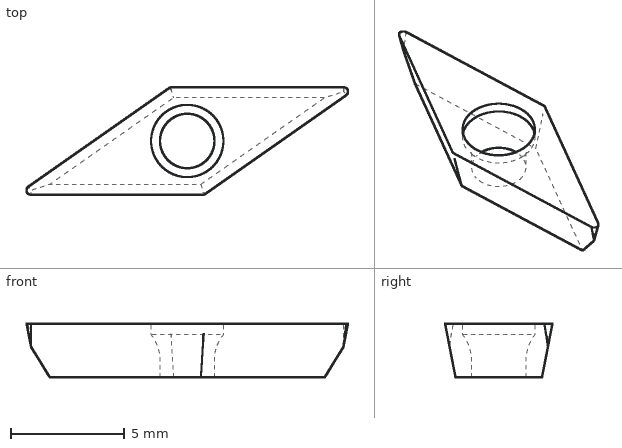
import cadquery as cq
import math

inscribed_diameter = 4.76
thickness = 2.38
nose_angle = 35.0
clearance_angle = 11.0
corner_radius = 0.2

mouth_diameter = 3.2
mouth_depth = 0.49
throat_diameter = 2.4
throat_depth = 1.6

side_length = inscribed_diameter / math.sin(math.radians(nose_angle))
half_height = inscribed_diameter / 2
near_x = side_length * (1 - math.cos(math.radians(nose_angle))) / 2
far_x = side_length * (1 + math.cos(math.radians(nose_angle))) / 2
rhombus = [
    (-far_x, -half_height),
    (near_x, -half_height),
    (far_x, half_height),
    (-near_x, half_height),
]

cone_depth = corner_radius / math.tan(math.radians(clearance_angle))


def polyhedron(faces):
    """Solid bounded by flat faces, each given as a list of corner points."""
    outlines = [cq.Wire.makePolygon(face, close=True) for face in faces]
    shell = cq.Shell.makeShell([cq.Face.makeFromWires(outline) for outline in outlines])
    return cq.Solid.makeSolid(shell)


def sharp_body():
    """Rhombic frustum that narrows downwards by the clearance angle."""
    return (
        cq.Workplane("XY", origin=(0, 0, thickness))
        .polyline(rhombus)
        .close()
        .extrude(-thickness, taper=clearance_angle)
    )


def corner_waste(before, corner, after):
    """Material between a sharp corner and the conical nose that rounds it."""
    tip = cq.Vector(*corner, thickness)
    to_before = (cq.Vector(*before, thickness) - tip).normalized()
    to_after = (cq.Vector(*after, thickness) - tip).normalized()
    half_angle = to_before.getAngle(to_after) / 2
    bisector = (to_before + to_after).normalized()

    center = tip + bisector * (corner_radius / math.sin(half_angle))
    tangent_length = corner_radius / math.tan(half_angle)
    tangent_before = tip + to_before * tangent_length
    tangent_after = tip + to_after * tangent_length
    apex = center - cq.Vector(0, 0, cone_depth)

    rim = [center, tangent_before, tip, tangent_after]
    sides = [[rim[i - 1], rim[i], apex] for i in range(len(rim))]
    pyramid = polyhedron([rim] + sides)
    cone = cq.Solid.makeCone(corner_radius, 0, cone_depth, center, cq.Vector(0, 0, -1))
    return pyramid.cut(cone)


def screw_hole():
    """Cylindrical mouth, then a convex seat that flows tangentially into the throat."""
    mouth_radius = mouth_diameter / 2
    throat_radius = throat_diameter / 2
    seat_width = mouth_radius - throat_radius
    seat_height = throat_depth - mouth_depth
    seat_radius = (seat_height**2 + seat_width**2) / (2 * seat_width)
    half_sweep = math.asin(seat_height / seat_radius) / 2
    seat_middle = (
        throat_radius + seat_radius * (1 - math.cos(half_sweep)),
        thickness - throat_depth + seat_radius * math.sin(half_sweep),
    )
    return (
        cq.Workplane("XZ")
        .moveTo(0, 0)
        .lineTo(throat_radius, 0)
        .lineTo(throat_radius, thickness - throat_depth)
        .threePointArc(seat_middle, (mouth_radius, thickness - mouth_depth))
        .lineTo(mouth_radius, thickness)
        .lineTo(0, thickness)
        .close()
        .revolve(360, (0, 0, 0), (0, 1, 0))
    )


insert = sharp_body()
for index, corner in enumerate(rhombus):
    before = rhombus[index - 1]
    after = rhombus[(index + 1) % len(rhombus)]
    insert = insert.cut(cq.Workplane(corner_waste(before, corner, after)))
insert = insert.cut(screw_hole())

result = cq.Workplane(insert.solids().val())